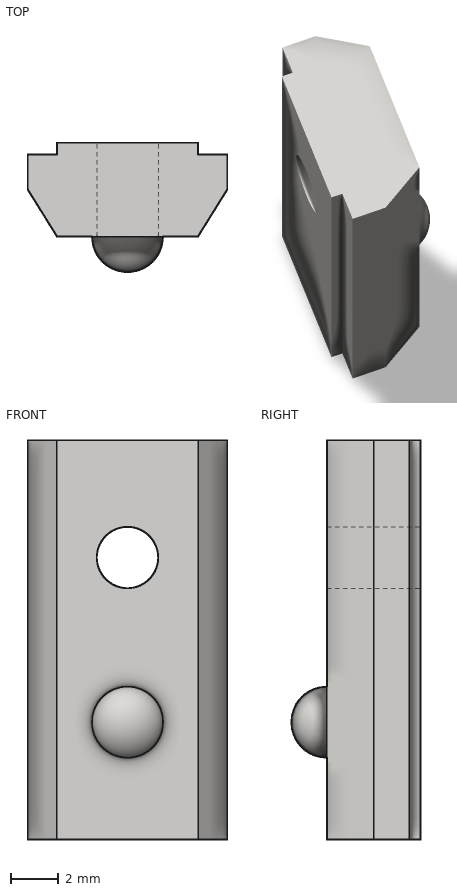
import cadquery as cq

length = 17.0
width = 8.5
thickness = 4.0

pad_width = 6.0
pad_height = 0.5
front_width = pad_width
taper_depth = 2.0

hole_diameter = 2.6
ball_radius = 1.51
end_offset = 5.0
ball_z = end_offset
hole_z = length - end_offset

shoulder_y = thickness - pad_height


def make_body():
    """Extrude the symmetric nut profile along Z."""
    half_profile = (
        cq.Workplane("XY")
        .moveTo(0, 0)
        .lineTo(front_width / 2, 0)
        .lineTo(width / 2, taper_depth)
        .lineTo(width / 2, shoulder_y)
        .lineTo(pad_width / 2, shoulder_y)
        .lineTo(pad_width / 2, thickness)
        .lineTo(0, thickness)
        .mirrorY()
    )
    return half_profile.extrude(length)


def make_hole():
    """Cylinder that passes through the full thickness along Y."""
    return (
        cq.Workplane("XZ")
        .center(0, hole_z)
        .circle(hole_diameter / 2)
        .extrude(-thickness)
    )


def make_ball():
    """Ball centred on the front face, so half of it stands proud."""
    return cq.Workplane("XY").sphere(ball_radius).translate((0, 0, ball_z))


result = make_body().cut(make_hole()).union(make_ball())